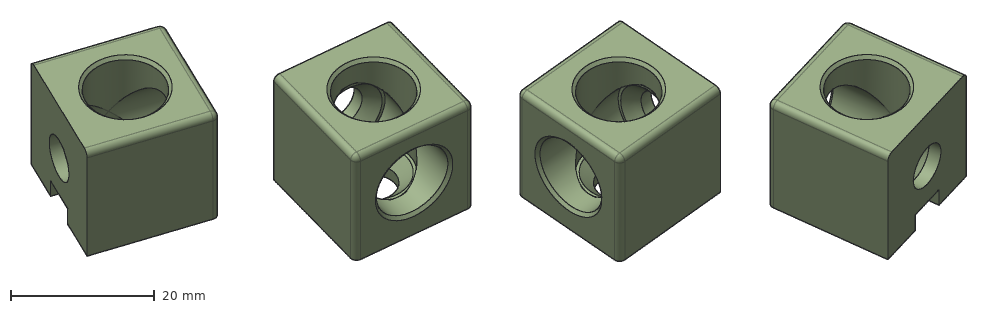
import cadquery as cq

side = 20.0
half = side / 2
edge_radius = 1.0

bore_radius = 6.0
mouth_chamfer = 0.5
ledge_width = 0.5
hole_radius = 3.5
hole_length = 2.0
ledge_level = -bore_radius

notch_width = 6.0
notch_leg = 3.0


def rounded_cube():
    cube = cq.Workplane("XY").box(side, side, side)
    return cube.edges("(>Z and (not <Y)) or (>Y and |Z)").fillet(edge_radius)


def stepped_bore():
    """Bore along Z, open at the top and narrowing to a through hole at the bottom."""
    neck_radius = bore_radius - ledge_width
    profile = [
        (0, -half),
        (hole_radius, -half),
        (hole_radius, -half + hole_length),
        (neck_radius, ledge_level),
        (bore_radius, ledge_level),
        (bore_radius, half - mouth_chamfer),
        (bore_radius + mouth_chamfer, half),
        (0, half),
    ]
    return cq.Workplane("XZ").polyline(profile).close().revolve(360, (0, 0), (0, 1))


def edge_notch():
    """Triangular prism removing the middle of the lower front edge."""
    profile = [
        (-half, -half),
        (-half + notch_leg, -half),
        (-half, -half + notch_leg),
    ]
    return cq.Workplane("YZ").polyline(profile).close().extrude(notch_width / 2, both=True)


vertical_bore = stepped_bore()
horizontal_bore = stepped_bore().rotate((0, 0, 0), (1, 0, 0), -90)

result = rounded_cube().cut(vertical_bore).cut(horizontal_bore).cut(edge_notch())